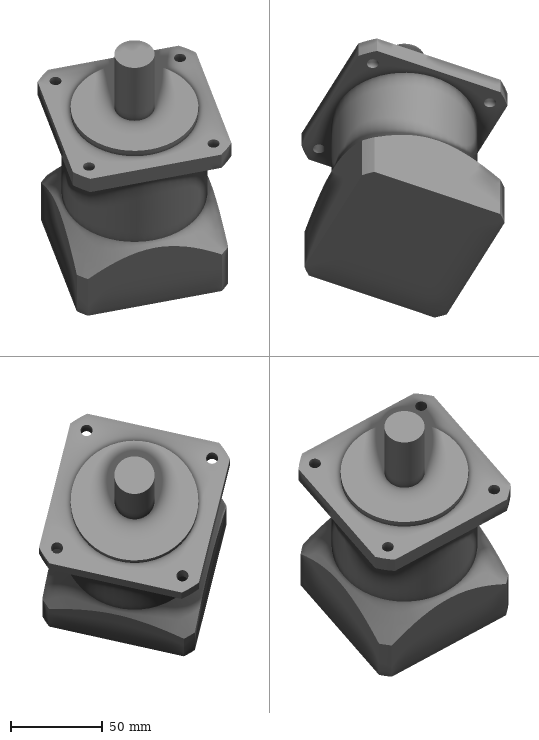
import cadquery as cq

base_width = 86.0
base_corner_diameter = 114.7

housing_diameter = 80.0
housing_bottom = 45.0

base_corner_height = housing_bottom - (base_corner_diameter - housing_diameter) / 2

flange_width = 90.0
flange_bottom = 95.0
flange_top = 105.0
flange_corner_diameter = 116.8
bolt_circle_diameter = 100.0
bolt_hole_diameter = 6.5

pilot_diameter = 70.0
pilot_top = 109.0
shaft_diameter = 22.0
shaft_top = 149.0


def cylinder(diameter, bottom, top):
    """Solid disc on the main axis between two heights."""
    return cq.Workplane("XY").workplane(offset=bottom).circle(diameter / 2).extrude(top - bottom)


def make_base():
    """Square block cut from a turned blank, so the cone meets each side in a curve."""
    blank = (
        cq.Workplane("XZ")
        .moveTo(0, 0)
        .lineTo(base_corner_diameter / 2, 0)
        .lineTo(base_corner_diameter / 2, base_corner_height)
        .lineTo(housing_diameter / 2, housing_bottom)
        .lineTo(0, housing_bottom)
        .close()
        .revolve(360, (0, 0), (0, 1))
    )
    block = cq.Workplane("XY").rect(base_width, base_width).extrude(housing_bottom)
    return block.intersect(blank)


def make_flange():
    """Square plate with corners rounded about the main axis and four bolt holes through it."""
    disc = cylinder(flange_corner_diameter, flange_bottom, flange_top)
    square = (
        cq.Workplane("XY")
        .workplane(offset=flange_bottom)
        .rect(flange_width, flange_width)
        .extrude(flange_top - flange_bottom)
    )
    plate = square.intersect(disc)
    return (
        plate.faces(">Z")
        .workplane()
        .polarArray(bolt_circle_diameter / 2, 45, 360, 4)
        .hole(bolt_hole_diameter)
    )


housing = cylinder(housing_diameter, housing_bottom, flange_bottom)
pilot = cylinder(pilot_diameter, flange_top, pilot_top)
shaft = cylinder(shaft_diameter, pilot_top, shaft_top)

result = make_base().union(housing).union(make_flange()).union(pilot).union(shaft)